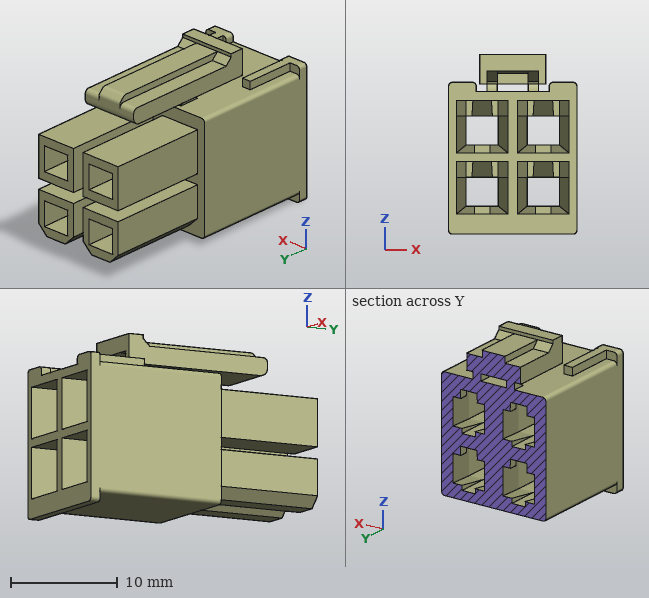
import cadquery as cq


total_length = 24.92
body_width = 12.05
body_rear = 14.03
body_bottom = 0.87
body_top = 13.38
corner_radius = 0.4

flange_depth = 1.0
flange_top = 14.25
flange_notch_width = 6.83

rail_rear = 6.45
rail_width = 1.0
rail_center = 4.29

cell_pitch = 5.73
cells_center_z = 6.85
tower_width = 4.49
tower_height = 4.59
tower_chamfer = 1.07

bore_width = 3.0
bore_height = 2.7
mouth_width = 4.8
mouth_bottom = -2.1
mouth_top = 2.82
taper_length = 4.98
shelf_length = 2.5
taper_start = body_rear - taper_length
shelf_y = taper_start + shelf_length
floor_groove_width = 1.47
roof_groove_width = 1.92
roof_groove_top_width = 1.75

latch_width = 6.23
latch_front = 5.75
latch_rear = 20.65
latch_bottom = 14.08
slab_top = 15.82
rib_top = 16.52
rib_width = 2.7
cap_top = 16.87
cap_rear = 7.28
slab_lower_radius = 0.77
latch_upper_radius = 0.5
rib_chamfer = 0.65

hollow_width = 4.83
hollow_roof = 15.3
center_width = 2.9
leg_width = (hollow_width - center_width) / 2
leg_center = (hollow_width + center_width) / 4
center_hollow_rear = 8.72
center_roof_drop = 0.22
leg_roof_rear = 11.41
leg_roof_end = 14.3

hinge_front_base = (11.16, body_top)
hinge_front_waist = (11.41, 13.7)
hinge_front_top = (11.56, latch_bottom)
hinge_rear_top = (13.0, latch_bottom)
hinge_rear_waist = (13.18, 13.7)
hinge_rear_base = (13.43, body_top)


def block(x_center, width, y0, y1, z0, z1):
    """Box centred on x_center, spanning y0..y1 and z0..z1."""
    box = cq.Workplane("XY").box(width, y1 - y0, z1 - z0, centered=(True, False, False))
    return box.translate((x_center, y0, z0))


def side_extrusion(profile, x_center, width):
    """Extrude a Y-Z profile across X, centred on x_center."""
    return profile.extrude(width / 2, both=True).translate((x_center, 0, 0))


def tapered_pocket(z0, z1, length, end_z0):
    """Pocket narrowing to the bore width behind the straight mouth, its floor rising to end_z0."""
    start = cq.Workplane("XZ", origin=(0, taper_start, (z0 + z1) / 2)).rect(mouth_width, z1 - z0)
    end_shift = (end_z0 - z0) / 2
    return (
        start.workplane(offset=-length)
        .center(0, end_shift)
        .rect(bore_width, z1 - end_z0)
        .loft(ruled=True)
    )


def make_body():
    body = block(0, body_width, 0, body_rear, body_bottom, body_top)
    return body.edges("|Y").fillet(corner_radius)


def make_flange():
    flange = block(0, body_width, 0, flange_depth, 0, flange_top)
    notch = block(0, flange_notch_width, 0, flange_depth, body_top, flange_top)
    flange = flange.cut(notch)
    top_edges = flange.faces(">Z").edges("|Y")
    bottom_edges = flange.faces("<Z").edges("|Y")
    return top_edges.add(bottom_edges).fillet(corner_radius)


def make_rail(side):
    rail_bottom = body_top - corner_radius
    return block(side * rail_center, rail_width, flange_depth, rail_rear, rail_bottom, flange_top)


def make_tower(chamfered):
    half = tower_height / 2
    tower = block(0, tower_width, shelf_y, total_length, -half, half)
    if chamfered:
        tower = tower.faces("<Z").edges("|Y").chamfer(tower_chamfer)
    return tower


def make_cavity():
    """Through cavity of one cell, placed about the cell axis."""
    bore_top = bore_height / 2
    bore = block(0, bore_width, 0, total_length, -bore_top, bore_top)
    mouth = block(0, mouth_width, 0, taper_start, mouth_bottom, mouth_top)
    lower = tapered_pocket(mouth_bottom, bore_top, taper_length, -bore_top)
    upper = tapered_pocket(bore_top, mouth_top, shelf_length, bore_top)
    floor_groove = block(0, floor_groove_width, 0, body_rear, mouth_bottom, 0)

    roof_slope = (
        cq.Workplane("YZ")
        .polyline([(0, 0), (0, mouth_top), (shelf_y, mouth_top), (body_rear, bore_top), (body_rear, 0)])
        .close()
    )
    roof_section = (
        cq.Workplane("XZ")
        .polyline(
            [
                (-roof_groove_width / 2, bore_top),
                (roof_groove_width / 2, bore_top),
                (roof_groove_top_width / 2, mouth_top),
                (-roof_groove_top_width / 2, mouth_top),
            ]
        )
        .close()
        .extrude(-body_rear)
    )
    roof_groove = side_extrusion(roof_slope, 0, roof_groove_width).intersect(roof_section)
    return bore.union(mouth).union(lower).union(upper).union(floor_groove).union(roof_groove)


def make_latch():
    slab = block(0, latch_width, latch_front, latch_rear, latch_bottom, slab_top)
    slab = slab.faces(">Y").edges("<Z").fillet(slab_lower_radius)
    slab = slab.faces(">Y").edges(">Z").fillet(latch_upper_radius)

    rib = block(0, rib_width, latch_front, latch_rear, latch_bottom, rib_top)
    rib = rib.faces(">Y").edges(">Z").chamfer(rib_chamfer)
    rib = rib.faces(">Y").edges(">Z").fillet(latch_upper_radius)
    rib = rib.faces(">Z").edges(">Y").fillet(latch_upper_radius)
    rib = rib.faces(">Y").edges("<Z").fillet(slab_lower_radius)

    ramp_rear = cap_rear + rib_top - slab_top
    cap_profile = (
        cq.Workplane("YZ")
        .polyline(
            [
                (latch_front, latch_bottom),
                (latch_front, cap_top),
                (cap_rear, cap_top),
                (cap_rear, rib_top),
                (ramp_rear, slab_top),
                (ramp_rear, latch_bottom),
            ]
        )
        .close()
    )
    return slab.union(rib).union(side_extrusion(cap_profile, 0, latch_width))


def cut_hollow(latch):
    """Hollow the underside: a short centre pocket and two longer side channels over the legs."""
    center_profile = (
        cq.Workplane("YZ")
        .moveTo(latch_front, latch_bottom)
        .lineTo(latch_front, hollow_roof)
        .lineTo(center_hollow_rear, hollow_roof - center_roof_drop)
        .lineTo(center_hollow_rear, latch_bottom)
        .close()
    )
    latch = latch.cut(side_extrusion(center_profile, 0, center_width))
    for side in (-1, 1):
        channel_profile = (
            cq.Workplane("YZ")
            .moveTo(latch_front, latch_bottom)
            .lineTo(latch_front, hollow_roof)
            .lineTo(leg_roof_rear, leg_roof_end)
            .lineTo(*hinge_front_top)
            .close()
        )
        latch = latch.cut(side_extrusion(channel_profile, side * leg_center, leg_width))
    return latch


def make_hinge_leg(side):
    """Waisted leg joining the latch to the top of the body."""
    root = body_top - corner_radius
    profile = (
        cq.Workplane("YZ")
        .moveTo(hinge_front_base[0], root)
        .lineTo(*hinge_front_base)
        .threePointArc(hinge_front_waist, hinge_front_top)
        .lineTo(hinge_front_top[0], leg_roof_end)
        .lineTo(hinge_rear_top[0], leg_roof_end)
        .lineTo(*hinge_rear_top)
        .threePointArc(hinge_rear_waist, hinge_rear_base)
        .lineTo(hinge_rear_base[0], root)
        .close()
    )
    return side_extrusion(profile, side * leg_center, leg_width)


result = make_body().union(make_flange()).union(cut_hollow(make_latch()))
for side in (-1, 1):
    result = result.union(make_rail(side)).union(make_hinge_leg(side))

for row in (-1, 1):
    for column in (-1, 1):
        cell_axis = (column * cell_pitch / 2, 0, cells_center_z + row * cell_pitch / 2)
        result = result.union(make_tower(chamfered=row < 0).translate(cell_axis))
        result = result.cut(make_cavity().translate(cell_axis))